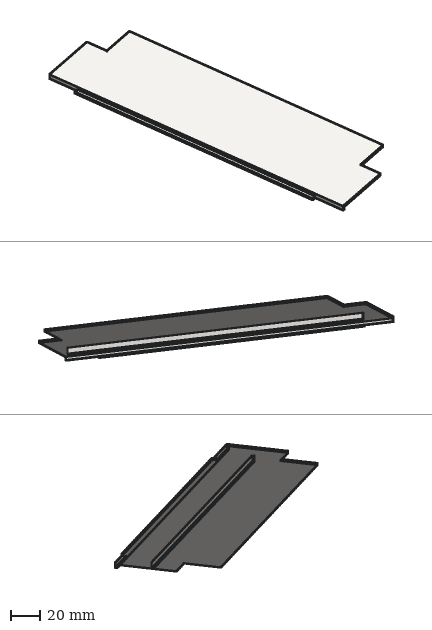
import cadquery as cq

length = 246.0
depth = 73.0
height = 6.2
sheet = 1.5

lip_reach = 3.0
rear_width = 212.5
shoulder_depth = 26.3

flange_height = 3.7
lip_width = 199.3

rib_width = 222.0
rib_offset = 47.2
rib_chamfer = 0.5

rear_y = depth / 2
lip_front_y = -depth / 2
plate_front_y = lip_front_y + lip_reach
shoulder_y = rear_y - shoulder_depth


def centred_bar(width, y_front, y_rear, z_bottom, z_top):
    """Box symmetric about X = 0 between the given Y and Z limits."""
    return (
        cq.Workplane("XY")
        .box(width, y_rear - y_front, z_top - z_bottom, centered=(True, False, False))
        .translate((0, y_front, z_bottom))
    )


plate = centred_bar(length, plate_front_y, shoulder_y, -sheet, 0).union(
    centred_bar(rear_width, plate_front_y, rear_y, -sheet, 0)
)

flange = centred_bar(length, plate_front_y, plate_front_y + sheet, -flange_height, 0)

lip = centred_bar(
    lip_width, lip_front_y, plate_front_y + sheet, -flange_height, sheet - flange_height
)

rib_y = rear_y - rib_offset
rib = (
    centred_bar(rib_width, rib_y - sheet / 2, rib_y + sheet / 2, -height, 0)
    .edges("|X and <Z")
    .chamfer(rib_chamfer)
)

result = plate.union(flange).union(lip).union(rib)